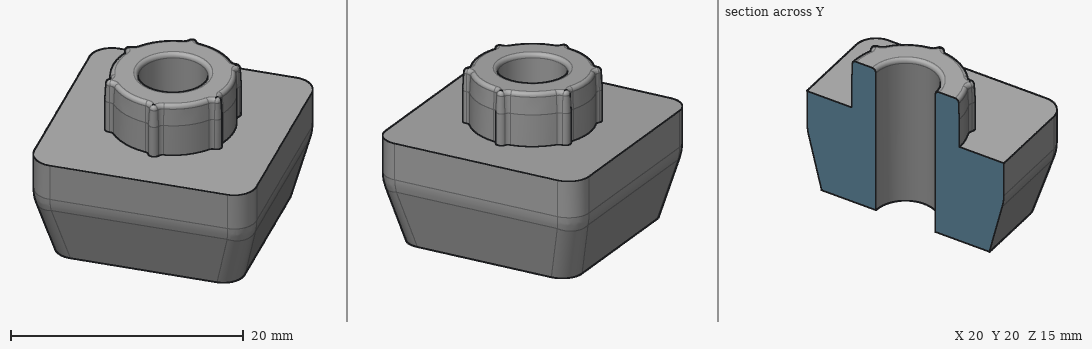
import cadquery as cq
import math

block_side = 20.0
block_height = 10.0
bend_height = 6.0
bottom_inset = 1.48
corner_radius = 2.0
bend_radius = 5.0

boss_radius = 5.5
boss_height = 5.0
taper_height = 2.0
taper_angle = 3.0
rib_count = 6
rib_tip_radius = 0.5
rib_reach = boss_radius + rib_tip_radius
rib_root_radius = 0.5
boss_top_fillet = 0.4

bore_diameter = 6.0
bore_top_fillet = 0.4


def polar(radius, angle):
    """Point at a distance from the axis, with the angle in radians."""
    return (radius * math.cos(angle), radius * math.sin(angle))


def make_block():
    """Square block that tapers inward below the bend, with rounded bend and corners."""
    half = block_side / 2
    profile = [
        (-half + bottom_inset, 0),
        (half - bottom_inset, 0),
        (half, bend_height),
        (half, block_height),
        (-half, block_height),
        (-half, bend_height),
    ]
    along_y = cq.Workplane("XZ").polyline(profile).close().extrude(half, both=True)
    along_x = cq.Workplane("YZ").polyline(profile).close().extrude(half, both=True)
    block = along_y.intersect(along_x)
    block = block.edges("#Z").edges("(not <Z) and (not >Z)").fillet(bend_radius)
    return block.edges("|Z").fillet(corner_radius)


def boss_outline(plane):
    """Circle with rounded ribs, each blended into the circle by a concave arc on either side."""
    tip_centre = rib_reach - rib_tip_radius
    root_centre = boss_radius + rib_root_radius
    centre_gap = rib_tip_radius + rib_root_radius
    root_angle = math.acos(
        (tip_centre**2 + root_centre**2 - centre_gap**2) / (2 * tip_centre * root_centre)
    )
    pitch = 2 * math.pi / rib_count

    def blend_points(rib_angle, side):
        """Ends and middle of a root arc, from the circle to the rib tip; side is -1 or 1."""
        angle = rib_angle + side * root_angle
        on_circle = cq.Vector(*polar(boss_radius, angle))
        root = cq.Vector(*polar(root_centre, angle))
        tip = cq.Vector(*polar(tip_centre, rib_angle))
        on_tip = tip + (root - tip) * (rib_tip_radius / centre_gap)
        inward = ((on_circle - root) + (on_tip - root)).normalized()
        mid_blend = root + inward * rib_root_radius
        return [(point.x, point.y) for point in (on_circle, mid_blend, on_tip)]

    first_angle = math.pi / 2
    outline = plane.moveTo(*blend_points(first_angle, -1)[0])
    for index in range(rib_count):
        rib_angle = first_angle + index * pitch
        _, mid_in, tip_in = blend_points(rib_angle, -1)
        circle_out, mid_out, tip_out = blend_points(rib_angle, 1)
        next_circle = blend_points(rib_angle + pitch, -1)[0]
        outline = (
            outline.threePointArc(mid_in, tip_in)
            .threePointArc(polar(rib_reach, rib_angle), tip_out)
            .threePointArc(mid_out, circle_out)
            .threePointArc(polar(boss_radius, rib_angle + pitch / 2), next_circle)
        )
    return outline.close()


def make_boss():
    """Ribbed boss, straight at first, then slightly tapered with a rounded top rim."""
    straight_top = block_height + boss_height - taper_height
    straight = boss_outline(cq.Workplane("XY").workplane(offset=block_height))
    straight = straight.extrude(straight_top - block_height)
    tapered = boss_outline(cq.Workplane("XY").workplane(offset=straight_top))
    tapered = tapered.extrude(taper_height, taper=taper_angle)
    tapered = tapered.faces(">Z").edges().fillet(boss_top_fillet)
    return straight.union(tapered)


def make_bore():
    """Through bore that flares out in a quarter round at the top."""
    top = block_height + boss_height
    radius = bore_diameter / 2
    arc_centre = (radius + bore_top_fillet, top - bore_top_fillet)
    arc_offset = bore_top_fillet * math.sqrt(0.5)
    return (
        cq.Workplane("XZ")
        .lineTo(radius, 0)
        .lineTo(radius, top - bore_top_fillet)
        .threePointArc(
            (arc_centre[0] - arc_offset, arc_centre[1] + arc_offset),
            (radius + bore_top_fillet, top),
        )
        .lineTo(0, top)
        .close()
        .revolve(360, (0, 0), (0, 1))
    )


result = make_block().union(make_boss()).cut(make_bore())